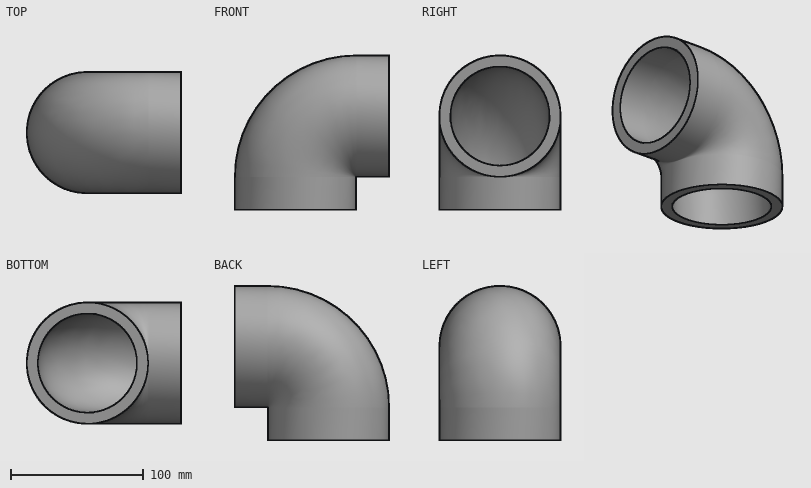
import cadquery as cq

overall_size = 117.0
outer_diameter = 92.0
bore_diameter = 75.0
bend_angle = 90

inner_bend_radius = 0.2

bend_radius = inner_bend_radius + outer_diameter / 2
collar_length = overall_size - bend_radius - outer_diameter / 2


def elbow(diameter):
    """Solid round elbow: lower collar, bend and side collar, centred on the lower opening."""
    radius = diameter / 2
    lower_collar = cq.Workplane("XY").circle(radius).extrude(collar_length)
    bend = (
        cq.Workplane("XY", origin=(0, 0, collar_length))
        .circle(radius)
        .revolve(bend_angle, (bend_radius, 0), (bend_radius, 1))
    )
    side_collar = (
        cq.Workplane("YZ", origin=(bend_radius, 0, collar_length + bend_radius))
        .circle(radius)
        .extrude(collar_length)
    )
    return lower_collar.union(bend).union(side_collar)


result = elbow(outer_diameter).cut(elbow(bore_diameter))